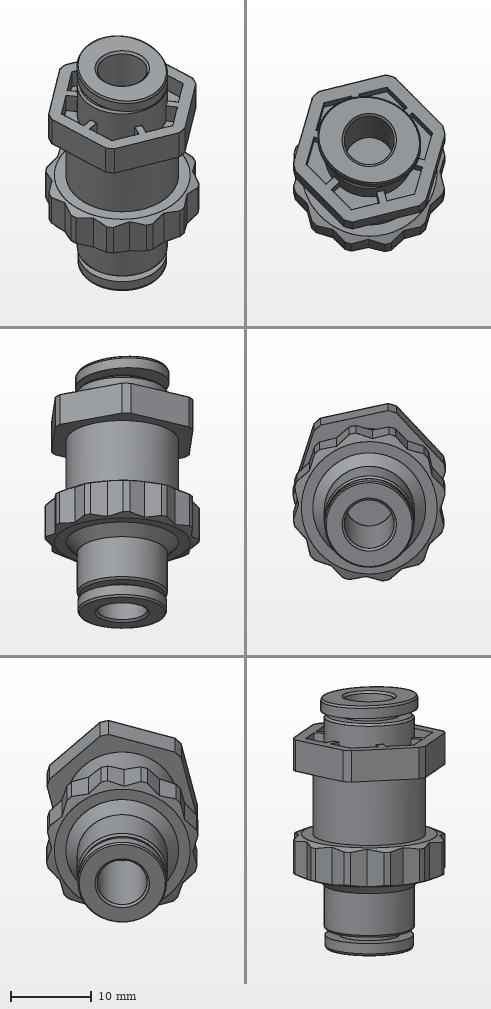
import cadquery as cq
import math

total_height = 31.9
collar_thickness = 1.6
neck_height = 0.75
cone_bottom = 7.98
nut_bottom = 9.38
nut_thickness = 5.0
flange_bottom = 22.95
flange_thickness = 4.0

body_bottom = collar_thickness + neck_height
body_top = total_height - body_bottom
top_collar_bottom = total_height - collar_thickness

neck_radius = 3.75
body_radius = 5.6
barrel_radius = 7.02
body_chamfer = 0.3

collar_radius = 5.52
top_collar_half_length = 6.48
collar_chamfer_height = 0.3
collar_chamfer_width = 0.15

socket_radius = 3.1
socket_depth = 12.75
socket_chamfer = 0.3

flange_apothem = 8.58
nut_apothem = 8.52
corner_radius = 9.6
nut_face_radius = 8.45
nut_chamfer_height = 0.4

pocket_apothem = 7.02
pocket_depth = 2.5
rib_width = 0.95
rib_count = 6


def hexagon(apothem, height, turn):
    """Hexagonal prism on z = 0; with no turn its corners lie on the X axis."""
    across_corners = 2 * apothem / math.cos(math.pi / 6)
    prism = cq.Workplane("XY").polygon(6, across_corners).extrude(height)
    return prism.rotate((0, 0, 0), (0, 0, 1), turn)


def cylinder(radius, height):
    """Cylinder standing on z = 0."""
    return cq.Workplane("XY").circle(radius).extrude(height)


def revolved(profile):
    """Solid of revolution about Z from (radius, height) points."""
    return cq.Workplane("XZ").polyline(profile).close().revolve(360, (0, 0), (0, 1))


def turned_body():
    """Lower collar, necks, chamfered body ends, cone and barrel as one revolved profile."""
    chamfered_radius = body_radius - body_chamfer
    profile = [
        (0, 0),
        (collar_radius - collar_chamfer_width, 0),
        (collar_radius, collar_chamfer_height),
        (collar_radius, collar_thickness),
        (neck_radius, collar_thickness),
        (neck_radius, body_bottom),
        (chamfered_radius, body_bottom),
        (body_radius, body_bottom + body_chamfer),
        (body_radius, cone_bottom),
        (barrel_radius, nut_bottom),
        (barrel_radius, flange_bottom),
        (body_radius, flange_bottom),
        (body_radius, body_top - body_chamfer),
        (chamfered_radius, body_top),
        (neck_radius, body_top),
        (neck_radius, top_collar_bottom),
        (0, top_collar_bottom),
    ]
    return revolved(profile)


def top_collar():
    """Elliptical collar with a chamfered upper rim."""
    return (
        cq.Workplane("XY")
        .workplane(offset=top_collar_bottom)
        .ellipse(top_collar_half_length, collar_radius)
        .extrude(collar_thickness)
        .faces(">Z")
        .chamfer(collar_chamfer_height, collar_chamfer_width)
    )


def star_nut():
    """Two crossed hexagons, trimmed to a disc with bevelled faces."""
    star = hexagon(nut_apothem, nut_thickness, 0).union(hexagon(nut_apothem, nut_thickness, 30))
    disc_profile = [
        (0, 0),
        (nut_face_radius, 0),
        (corner_radius, nut_chamfer_height),
        (corner_radius, nut_thickness - nut_chamfer_height),
        (nut_face_radius, nut_thickness),
        (0, nut_thickness),
    ]
    disc = revolved(disc_profile)
    return star.intersect(disc).translate((0, 0, nut_bottom))


def flange():
    """Hexagonal flange with a ribbed recess between its rim and the body."""
    block = hexagon(flange_apothem, flange_thickness, 30)
    block = block.intersect(cylinder(corner_radius, flange_thickness))

    pockets = hexagon(pocket_apothem, pocket_depth, 30).cut(cylinder(body_radius, pocket_depth))
    rib_pair = cq.Workplane("XY").rect(2 * flange_apothem, rib_width).extrude(pocket_depth)
    for index in range(rib_count // 2):
        pockets = pockets.cut(rib_pair.rotate((0, 0, 0), (0, 0, 1), index * 360 / rib_count))

    block = block.cut(pockets.translate((0, 0, flange_thickness - pocket_depth)))
    return block.translate((0, 0, flange_bottom))


def socket():
    """Blind tube socket with a chamfered mouth, opening downwards at z = 0."""
    profile = [
        (0, 0),
        (socket_radius + socket_chamfer, 0),
        (socket_radius, socket_chamfer),
        (socket_radius, socket_depth),
        (0, socket_depth),
    ]
    return revolved(profile)


bottom_socket = socket()
top_socket = bottom_socket.mirror("XY").translate((0, 0, total_height))

result = turned_body().union(top_collar()).union(star_nut()).union(flange())
result = result.cut(bottom_socket).cut(top_socket)